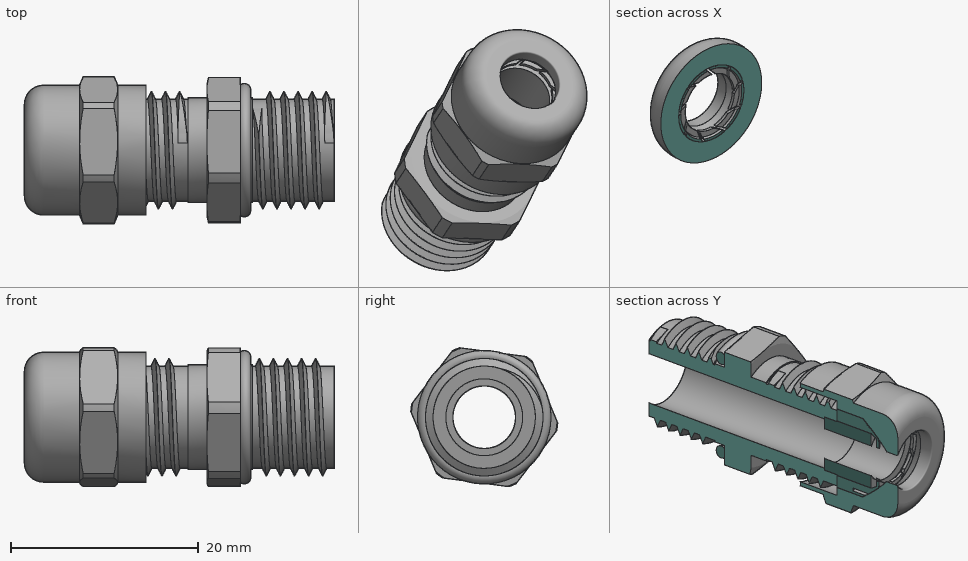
import cadquery as cq
import math


LENGTH = 33.0

ACROSS_FLATS = 14.0
HEX_TURN = -7.5

CAP_END = 12.97
CAP_DIAMETER = 13.85
CAP_NOSE_RADIUS = 2.08
CAP_HEX_START = 5.88
CAP_HEX_END = 9.97
CAP_HEX_CORNERS = 15.7
HEX_BEVEL_LENGTH = 0.4
MOUTH_DIAMETER = 6.65
MOUTH_ROUNDING = 0.15
LIP_LENGTH = 1.52
CONE_SLOPE = 0.7
CAP_BORE_DIAMETER = 12.85

CLAW_START = 2.5
CLAW_NOSE_LENGTH = 0.35
CLAW_NOSE_DIAMETER = 6.7
CLAW_DIAMETER = 11.1
CLAW_BORE = 8.65
CLAW_EDGE_CHAMFER = 0.13
CLAW_SLOTS = 9
CLAW_SLOT_WIDTH = 0.25
CLAW_SLOT_OFFSET = 2.65
CLAW_SLOT_TURN = 3.3
CLAW_SLOT_END = 5.95

SEAL_START = 3.53
SEAL_BORE = 6.65
SEAL_DEPTH_IN_BODY = 1.65

BODY_START = 8.12
BODY_CORE = 10.9
BODY_BORE = 8.2
COLLAR_DIAMETER = 11.2
COLLAR_START = 17.45
COLLAR_END = 24.3
BODY_HEX_START = 19.45
BODY_HEX_END = 23.0
BODY_HEX_CORNERS = 15.5
BODY_HEX_BEVEL_LENGTH = 0.15
BODY_HEX_FACE_DIAMETER = 13.85

PITCH = 1.5
THREAD_CREST = 12.5
THREAD_BASE_WIDTH = 1.0
THREAD_CREST_WIDTH = 0.03
THREAD_TURNS = 5
GLAND_THREAD_LAST_CREST = 16.55
ENTRY_THREAD_LAST_CREST = 32.15
FADE_IN_START = 35.0
FADE_IN_END = 75.0
FADE_OUT_START = 10.0
FADE_OUT_END = 71.0
THREAD_TAIL_END = 82.0
TAIL_HEIGHT = 0.015
THREAD_RAIL_STEP = 10.0
THREAD_RAIL_MIN_STEPS = 6
THREAD_ROOT_DEPTH = 0.13

RING_CENTER_DIAMETER = 12.85
RING_SECTION_RADIUS = 0.7
RING_END = 24.13


def revolve(outline):
    """Turn an outline drawn as (x, radius) about the X axis."""
    return outline.close().revolve(360, (0, 0, 0), (1, 0, 0))


def cylinder(start, end, diameter):
    return cq.Workplane("YZ", origin=(start, 0, 0)).circle(diameter / 2).extrude(end - start)


def hexagon(start, end, corner_diameter, face_diameter, bevel_length, bevel_both_ends):
    """Hexagonal prism whose corners are trimmed by a bevelled round bar."""
    corners = ACROSS_FLATS / math.cos(math.pi / 6)
    prism = (
        cq.Workplane("YZ", origin=(start, 0, 0))
        .transformed(rotate=(0, 0, HEX_TURN))
        .polygon(6, corners)
        .extrude(end - start)
    )
    bar = cq.Workplane("XY").moveTo(start, 0).lineTo(start, face_diameter / 2)
    bar = bar.lineTo(start + bevel_length, corner_diameter / 2)
    if bevel_both_ends:
        bar = bar.lineTo(end - bevel_length, corner_diameter / 2).lineTo(end, face_diameter / 2)
    else:
        bar = bar.lineTo(end, corner_diameter / 2)
    return prism.intersect(revolve(bar.lineTo(end, 0)))


def cone_radius(x):
    """Radius of the clamping cone inside the cap nut."""
    return MOUTH_DIAMETER / 2 + CONE_SLOPE * (x - LIP_LENGTH)


def cone_end(diameter):
    """X at which the clamping cone has grown to a diameter."""
    return LIP_LENGTH + (diameter - MOUTH_DIAMETER) / 2 / CONE_SLOPE


def make_cap_nut():
    """Round-nosed nut with a hexagon band, a mouth, a clamping cone and a wide rear bore."""
    radius = CAP_DIAMETER / 2
    barrel = revolve(
        cq.Workplane("XY")
        .lineTo(0, radius - CAP_NOSE_RADIUS)
        .radiusArc((CAP_NOSE_RADIUS, radius), CAP_NOSE_RADIUS)
        .lineTo(CAP_END, radius)
        .lineTo(CAP_END, 0)
    )
    wrench_hex = hexagon(
        CAP_HEX_START, CAP_HEX_END, CAP_HEX_CORNERS, CAP_DIAMETER, HEX_BEVEL_LENGTH, True
    )
    mouth = MOUTH_DIAMETER / 2
    cone_x = cone_end(CLAW_DIAMETER)
    cavity = revolve(
        cq.Workplane("XY")
        .lineTo(0, mouth + MOUTH_ROUNDING)
        .radiusArc((MOUTH_ROUNDING, mouth), -MOUTH_ROUNDING)
        .lineTo(LIP_LENGTH, mouth)
        .lineTo(cone_x, CLAW_DIAMETER / 2)
        .lineTo(BODY_START, CLAW_DIAMETER / 2)
        .lineTo(BODY_START, CAP_BORE_DIAMETER / 2)
        .lineTo(CAP_END, CAP_BORE_DIAMETER / 2)
        .lineTo(CAP_END, 0)
    )
    return barrel.union(wrench_hex).cut(cavity)


def make_claw():
    """Conical sleeve cut into fingers by slanted slots, with an inward nose in front."""
    nose_end = CLAW_START + CLAW_NOSE_LENGTH
    chamfer_end = CLAW_START + CLAW_EDGE_CHAMFER
    ring = revolve(
        cq.Workplane("XY")
        .moveTo(CLAW_START, CLAW_NOSE_DIAMETER / 2)
        .lineTo(CLAW_START, cone_radius(CLAW_START) - CLAW_EDGE_CHAMFER)
        .lineTo(chamfer_end, cone_radius(chamfer_end))
        .lineTo(cone_end(CLAW_DIAMETER), CLAW_DIAMETER / 2)
        .lineTo(BODY_START, CLAW_DIAMETER / 2)
        .lineTo(BODY_START, CLAW_BORE / 2)
        .lineTo(SEAL_START, CLAW_BORE / 2)
        .lineTo(nose_end, cone_radius(CLAW_START))
        .lineTo(nose_end, CLAW_NOSE_DIAMETER / 2)
    )
    slot_length = CLAW_SLOT_END - CLAW_START
    slot = cq.Workplane("XY").box(
        slot_length, CLAW_SLOT_WIDTH, CLAW_DIAMETER, centered=(False, True, False)
    ).translate((CLAW_START, CLAW_SLOT_OFFSET, 0))
    for i in range(CLAW_SLOTS):
        turn = CLAW_SLOT_TURN + i * 360 / CLAW_SLOTS
        ring = ring.cut(slot.rotate((0, 0, 0), (1, 0, 0), turn))
    return ring


def make_seal():
    """Plain sleeve inside the claw that reaches into the counterbore of the body."""
    seal_end = BODY_START + SEAL_DEPTH_IN_BODY
    return cylinder(SEAL_START, seal_end, CLAW_BORE).cut(
        cylinder(SEAL_START, seal_end, SEAL_BORE)
    )


def thread_stretch(first_x, angles, heights):
    """Stretch of ridge between two angles, its height changing evenly along the way.

    first_x is the X of the ridge centre at angle 0; heights are above the core.
    """
    full_height = (THREAD_CREST - BODY_CORE) / 2
    flank = (THREAD_BASE_WIDTH - THREAD_CREST_WIDTH) / 2 / full_height

    def rail(side, sunk):
        """Helical edge on one side (-1 or 1), either sunk in the core or along the ridge top."""
        def point(t):
            angle = angles[0] + (angles[1] - angles[0]) * t
            height = -THREAD_ROOT_DEPTH if sunk else heights[0] + (heights[1] - heights[0]) * t
            radius = BODY_CORE / 2 + height
            half_width = THREAD_BASE_WIDTH / 2 - flank * max(height, 0)
            turn = math.radians(angle)
            x = first_x + PITCH * angle / 360 + side * half_width
            return cq.Vector(x, radius * math.cos(turn), radius * math.sin(turn))

        steps = max(THREAD_RAIL_MIN_STEPS, math.ceil((angles[1] - angles[0]) / THREAD_RAIL_STEP))
        return cq.Edge.makeSpline([point(i / steps) for i in range(steps + 1)])

    rails = [rail(-1, True), rail(-1, False), rail(1, False), rail(1, True)]
    faces = [cq.Face.makeRuledSurface(rails[i - 1], rails[i]) for i in range(len(rails))]
    for position in (0, 1):
        corners = [edge.positionAt(position) for edge in rails]
        faces.append(cq.Face.makeFromWires(cq.Wire.makePolygon(corners, close=True)))
    return cq.Workplane(cq.Solid.makeSolid(cq.Shell.makeShell(faces)))


def make_thread(last_crest):
    """Stretches of one thread: rising start, full turns, falling end and a flat tail."""
    first_x = last_crest - THREAD_TURNS * PITCH
    full_height = (THREAD_CREST - BODY_CORE) / 2
    full_end = THREAD_TURNS * 360
    stations = [
        (FADE_IN_START, -TAIL_HEIGHT),
        (FADE_IN_END, full_height),
        (full_end + FADE_OUT_START, full_height),
        (full_end + FADE_OUT_END, TAIL_HEIGHT),
        (full_end + THREAD_TAIL_END, TAIL_HEIGHT),
    ]
    return [
        thread_stretch(first_x, (a[0], b[0]), (a[1], b[1]))
        for a, b in zip(stations, stations[1:])
    ]


def make_body():
    """Threaded tube with a collar, a hexagon and a counterbore for the seal."""
    body = cylinder(BODY_START, LENGTH, BODY_CORE)
    body = body.union(cylinder(COLLAR_START, COLLAR_END, COLLAR_DIAMETER))
    body = body.union(
        hexagon(
            BODY_HEX_START,
            BODY_HEX_END,
            BODY_HEX_CORNERS,
            BODY_HEX_FACE_DIAMETER,
            BODY_HEX_BEVEL_LENGTH,
            False,
        )
    )
    for last_crest in (GLAND_THREAD_LAST_CREST, ENTRY_THREAD_LAST_CREST):
        for stretch in make_thread(last_crest):
            body = body.union(stretch)
    body = body.cut(cylinder(BODY_START, LENGTH, BODY_BORE))
    return body.cut(cylinder(BODY_START, BODY_START + SEAL_DEPTH_IN_BODY, CLAW_BORE))


def make_o_ring():
    """Ring of round section, flattened where it rests on the body hexagon."""
    center_x = RING_END - RING_SECTION_RADIUS
    center_radius = RING_CENTER_DIAMETER / 2
    half_flat = math.sqrt(RING_SECTION_RADIUS**2 - (center_x - BODY_HEX_END) ** 2)
    return revolve(
        cq.Workplane("XY")
        .moveTo(BODY_HEX_END, center_radius - half_flat)
        .threePointArc((RING_END, center_radius), (BODY_HEX_END, center_radius + half_flat))
    )


cap_nut = make_cap_nut()
claw = make_claw()
seal = make_seal()
body = make_body()
o_ring = make_o_ring()

result = cq.Compound.makeCompound(
    [part.solids().val() for part in (cap_nut, claw, seal, body, o_ring)]
)